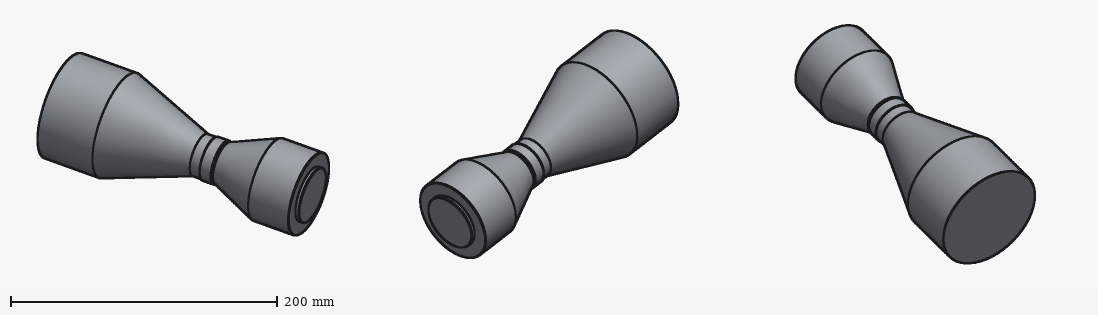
import cadquery as cq

length = 211.8

head_radius = 84.0 / 2
neck_radius = 17.0
collar_radius = 17.5
body_radius = 33.0
spigot_radius = 22.0

head_end = 46.8
front_cone_start = 47.9
neck_start = 116.3
collar_start = 124.8
collar_end = 134.3
rear_cone_start = 136.0
body_start = 174.3
body_end = 208.6

head_edge_drop = 0.5
body_edge = 1.3
body_edge_drop = 0.5
rim_chamfer = 0.5
head_rim_chamfer = 0.2

profile = [
    (0, 0),
    (0, head_radius - head_rim_chamfer),
    (head_rim_chamfer, head_radius),
    (head_end, head_radius),
    (front_cone_start, head_radius - head_edge_drop),
    (neck_start, neck_radius),
    (collar_start, neck_radius),
    (collar_start, collar_radius),
    (collar_end, collar_radius),
    (collar_end, neck_radius),
    (rear_cone_start, neck_radius),
    (body_start - body_edge, body_radius - body_edge_drop),
    (body_start, body_radius),
    (body_end - rim_chamfer, body_radius),
    (body_end, body_radius - rim_chamfer),
    (body_end, spigot_radius),
    (length - rim_chamfer, spigot_radius),
    (length, spigot_radius - rim_chamfer),
    (length, 0),
]

result = cq.Workplane("XZ").polyline(profile).close().revolve(360, (0, 0, 0), (1, 0, 0))